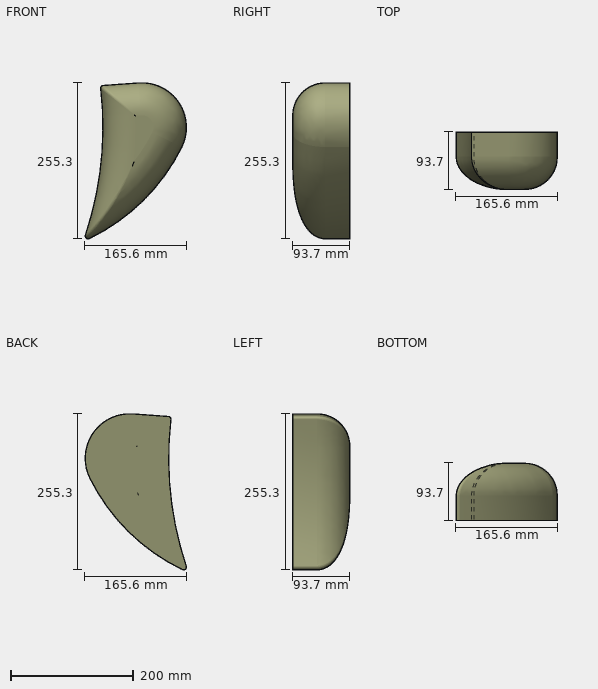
import cadquery as cq
import math

DEPTH = 93.7
EDGE_RADIUS = 53.6
CORNER_RADIUS = 4.9

HEAD_RADIUS = 73.0
FLANK_RADIUS = 327.5
FLANK_START_ANGLE = 26.4
TOP_SLOPE_ANGLE = 4.1

HOLLOW_RADIUS = 555.2
HOLLOW_DISTANCE = 63.8
HOLLOW_CENTRE_X = -HOLLOW_DISTANCE - HOLLOW_RADIUS

OVERRUN = 51.0
CUT_MARGIN = 2.5


def polar(centre, radius, degrees):
    """Point in the XZ plane at an angle measured from +X towards +Z."""
    angle = math.radians(degrees)
    return centre[0] + radius * math.cos(angle), centre[1] + radius * math.sin(angle)


def convex_body():
    """Top face, head and flank as a plate with a rounded front rim and spare stock on the -X side."""
    head_centre = (0.0, 0.0)
    flank_centre = polar(head_centre, HEAD_RADIUS - FLANK_RADIUS, -FLANK_START_ANGLE)

    top_end_angle = 90 + TOP_SLOPE_ANGLE
    top_end = polar(head_centre, HEAD_RADIUS, top_end_angle)
    head_middle = polar(head_centre, HEAD_RADIUS, (top_end_angle - FLANK_START_ANGLE) / 2)
    flank_start = polar(head_centre, HEAD_RADIUS, -FLANK_START_ANGLE)

    stock_x = -HOLLOW_DISTANCE - OVERRUN
    top_start_z = top_end[1] - (top_end[0] - stock_x) * math.tan(math.radians(TOP_SLOPE_ANGLE))
    flank_end_angle = -math.degrees(math.acos((stock_x - flank_centre[0]) / FLANK_RADIUS))
    flank_end = polar(flank_centre, FLANK_RADIUS, flank_end_angle)
    flank_middle = polar(flank_centre, FLANK_RADIUS, (flank_end_angle - FLANK_START_ANGLE) / 2)

    plate = (
        cq.Workplane("XZ")
        .moveTo(stock_x, top_start_z)
        .lineTo(*top_end)
        .threePointArc(head_middle, flank_start)
        .threePointArc(flank_middle, flank_end)
        .close()
        .extrude(DEPTH)
    )
    return plate.faces("<Y").edges(">X").fillet(EDGE_RADIUS)


def hollow_cutter():
    """Disc that cuts the concave side and flares out to round its front edge."""
    flare_start_y = EDGE_RADIUS - DEPTH
    rim_radius = HOLLOW_RADIUS + EDGE_RADIUS
    flare_middle_offset = math.sqrt(0.5) * EDGE_RADIUS
    return (
        cq.Workplane("XY")
        .moveTo(HOLLOW_CENTRE_X, CUT_MARGIN)
        .lineTo(HOLLOW_CENTRE_X + HOLLOW_RADIUS, CUT_MARGIN)
        .lineTo(HOLLOW_CENTRE_X + HOLLOW_RADIUS, flare_start_y)
        .threePointArc(
            (HOLLOW_CENTRE_X + rim_radius - flare_middle_offset, flare_start_y - flare_middle_offset),
            (HOLLOW_CENTRE_X + rim_radius, -DEPTH),
        )
        .lineTo(HOLLOW_CENTRE_X + rim_radius, -DEPTH - CUT_MARGIN)
        .lineTo(HOLLOW_CENTRE_X, -DEPTH - CUT_MARGIN)
        .close()
        .revolve(360, (HOLLOW_CENTRE_X, 0, 0), (HOLLOW_CENTRE_X, 1, 0))
    )


body = convex_body().cut(hollow_cutter())
result = body.edges("%BSPLINE").fillet(CORNER_RADIUS)